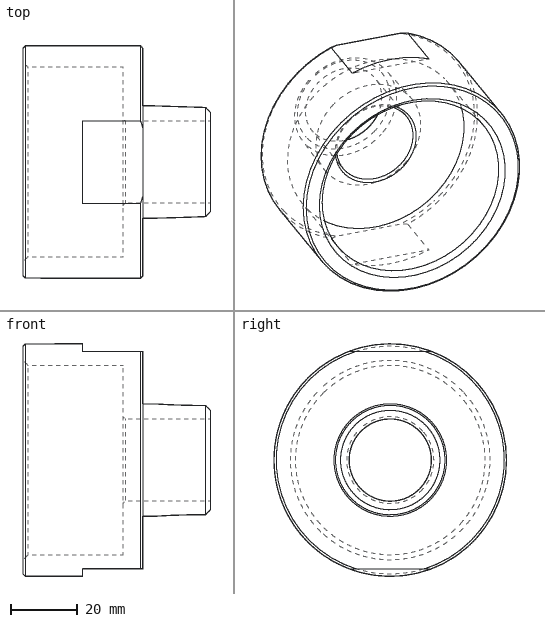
import cadquery as cq


body_diameter = 69.5
body_length = 35.8
body_chamfer = 0.7
overall_length = 56.0

flats_across = 65.0
flats_length = 18.0

socket_diameter = 56.66
floor_thickness = 6.0
socket_depth = body_length - floor_thickness
socket_chamfer = 1.5

spigot_diameter = 33.65
taper_length = 16.8
taper_ratio = 1 / 16
tip_chamfer = 1.5

bore_diameter = 24.5
bore_chamfer = 0.75


def revolve_about_x(profile):
    """Revolve a closed outline of (x, radius) points about the part axis."""
    return cq.Workplane("XY").polyline(profile).close().revolve(360, (0, 0), (1, 0))


def make_outer_shape():
    """Revolve the outer half profile, given as (x, radius) points."""
    body_radius = body_diameter / 2
    spigot_radius = spigot_diameter / 2
    taper_start = overall_length - taper_length
    taper_end = overall_length - tip_chamfer
    taper_end_radius = spigot_radius - (taper_end - taper_start) * taper_ratio / 2
    profile = [
        (0, 0),
        (0, body_radius - body_chamfer),
        (body_chamfer, body_radius),
        (body_length - body_chamfer, body_radius),
        (body_length, body_radius - body_chamfer),
        (body_length, spigot_radius),
        (taper_start, spigot_radius),
        (taper_end, taper_end_radius),
        (overall_length, taper_end_radius - tip_chamfer),
        (overall_length, 0),
    ]
    return revolve_about_x(profile)


def make_cavity():
    """Revolve the stepped bore: chamfered socket, chamfered floor edge, through hole."""
    socket_radius = socket_diameter / 2
    bore_radius = bore_diameter / 2
    profile = [
        (0, 0),
        (0, socket_radius + socket_chamfer),
        (socket_chamfer, socket_radius),
        (socket_depth, socket_radius),
        (socket_depth, bore_radius + bore_chamfer),
        (socket_depth + bore_chamfer, bore_radius),
        (overall_length, bore_radius),
        (overall_length, 0),
    ]
    return revolve_about_x(profile)


def make_flat_cutter(side):
    """Block that removes the body beyond one flat; side is +1 (top) or -1 (bottom)."""
    cut_height = (body_diameter - flats_across) / 2
    cut_center_x = body_length - flats_length / 2
    cut_center_z = side * (flats_across + cut_height) / 2
    cutter = cq.Workplane("XY").box(flats_length, body_diameter, cut_height)
    return cutter.translate((cut_center_x, 0, cut_center_z))


result = make_outer_shape().cut(make_cavity())
for side in (1, -1):
    result = result.cut(make_flat_cutter(side))